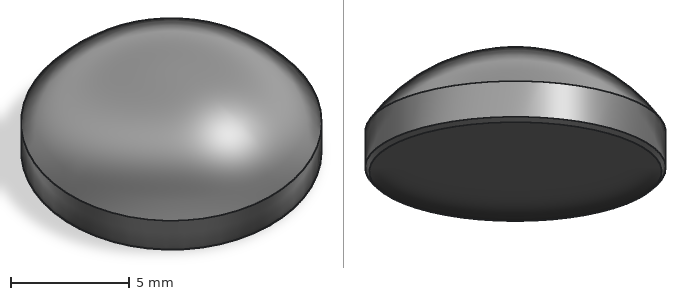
import cadquery as cq

diameter = 12.7
total_height = 5.12
rim_height = 1.78
base_chamfer = 0.18

radius = diameter / 2
dome_height = total_height - rim_height
sphere_radius = (radius**2 + dome_height**2) / (2 * dome_height)
sphere_center_z = total_height - sphere_radius

mid_x = radius / 2
mid_z = sphere_center_z + (sphere_radius**2 - mid_x**2) ** 0.5

half_section = (
    cq.Workplane("XZ")
    .lineTo(radius - base_chamfer, 0)
    .lineTo(radius, base_chamfer)
    .lineTo(radius, rim_height)
    .threePointArc((mid_x, mid_z), (0, total_height))
    .close()
)

result = half_section.revolve(360, (0, 0, 0), (0, 1, 0))